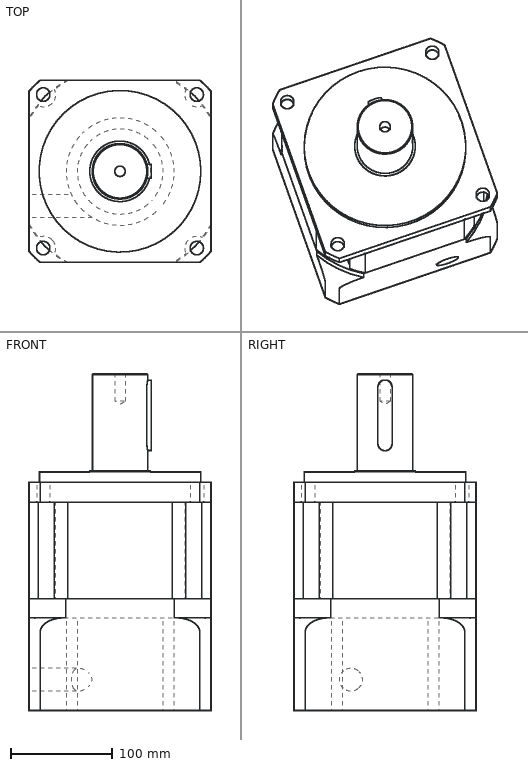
import cadquery as cq
import math

SIDE = 180.0
CORNER_R = 120.0
TOTAL_H = 333.0

INPUT_TOP = 111.0
CASE_TOP = 206.0
FLANGE_TOP = 226.0
BOSS_TOP = 236.0
COLLAR_TOP = 237.0

BOSS_D = 160.0
COLLAR_D = 60.0
SHAFT_D = 55.0
SHAFT_CHAMFER = 1.0
CENTRE_HOLE_D = 10.3
CENTRE_HOLE_DEPTH = 26.5
DRILL_ANGLE = 118.0
KEY_WIDTH = 14.0
KEY_LENGTH = 70.0
KEY_END_GAP = 6.0
KEY_REACH = 31.0

BOLT_OFFSET = 76.0
BOLT_HOLE_R = 6.5
BOLT_GROOVE_R = 12.0

CASE_R = 104.0

RIM_R = 105.0
SHOULDER_R = CORNER_R - RIM_R
RIM_BOTTOM = 92.0
SHOULDER_BOTTOM = RIM_BOTTOM - SHOULDER_R
CAVITY_R = 53.3
HUB_R = 42.3
CAVITY_H = RIM_BOTTOM
ACCESS_HOLE_R = 11.3
ACCESS_HOLE_Y = -34.0
ACCESS_HOLE_Z = 31.0


def disc(radius, bottom, top):
    """Upright cylinder on the main axis."""
    return cq.Workplane("XY").workplane(offset=bottom).circle(radius).extrude(top - bottom)


def square_block(bottom, top):
    """Upright square prism on the main axis."""
    return cq.Workplane("XY").workplane(offset=bottom).rect(SIDE, SIDE).extrude(top - bottom)


def bolt_cylinders(radius, bottom, top):
    """One upright cylinder at each of the four bolt positions."""
    return (
        cq.Workplane("XY")
        .workplane(offset=bottom)
        .rect(2 * BOLT_OFFSET, 2 * BOLT_OFFSET, forConstruction=True)
        .vertices()
        .circle(radius)
        .extrude(top - bottom)
    )


def make_flange():
    plate = square_block(CASE_TOP, FLANGE_TOP).intersect(disc(CORNER_R, CASE_TOP, FLANGE_TOP))
    return plate.cut(bolt_cylinders(BOLT_HOLE_R, CASE_TOP, FLANGE_TOP))


def make_key():
    """Key with round ends on the +X side; its root lies inside the shaft."""
    key_centre_z = TOTAL_H - KEY_END_GAP - KEY_LENGTH / 2
    return (
        cq.Workplane("YZ")
        .center(0, key_centre_z)
        .slot2D(KEY_LENGTH, KEY_WIDTH, 90)
        .extrude(KEY_REACH)
    )


def make_centre_hole():
    """Drilled hole in the shaft end, with a conical point."""
    radius = CENTRE_HOLE_D / 2
    wall_bottom = TOTAL_H - CENTRE_HOLE_DEPTH
    point_h = radius / math.tan(math.radians(DRILL_ANGLE / 2))
    return (
        cq.Workplane("XZ")
        .moveTo(0, TOTAL_H)
        .lineTo(radius, TOTAL_H)
        .lineTo(radius, wall_bottom)
        .lineTo(0, wall_bottom - point_h)
        .close()
        .revolve(360, (0, 0), (0, 1))
    )


def make_output_unit():
    boss = disc(BOSS_D / 2, FLANGE_TOP, BOSS_TOP)
    collar = disc(COLLAR_D / 2, BOSS_TOP, COLLAR_TOP)
    shaft = disc(SHAFT_D / 2, COLLAR_TOP, TOTAL_H).faces(">Z").chamfer(SHAFT_CHAMFER)
    unit = make_flange().union(boss).union(collar).union(shaft).union(make_key())
    return unit.cut(make_centre_hole())


def make_gear_case():
    case = square_block(INPUT_TOP, CASE_TOP).intersect(disc(CASE_R, INPUT_TOP, CASE_TOP))
    return case.cut(bolt_cylinders(BOLT_GROOVE_R, INPUT_TOP, CASE_TOP))


def make_housing_envelope():
    """Turned shape with a rounded shoulder that forms the corners of the input housing."""
    arc_reach = SHOULDER_R * math.sqrt(0.5)
    return (
        cq.Workplane("XZ")
        .lineTo(CORNER_R, 0)
        .lineTo(CORNER_R, SHOULDER_BOTTOM)
        .threePointArc((RIM_R + arc_reach, SHOULDER_BOTTOM + arc_reach), (RIM_R, RIM_BOTTOM))
        .lineTo(RIM_R, INPUT_TOP)
        .lineTo(0, INPUT_TOP)
        .close()
        .revolve(360, (0, 0), (0, 1))
    )


def make_access_hole():
    """Hole from the -X face that reaches the cavity and stops at the hub."""
    hole = (
        cq.Workplane("YZ")
        .workplane(offset=-SIDE / 2)
        .center(ACCESS_HOLE_Y, ACCESS_HOLE_Z)
        .circle(ACCESS_HOLE_R)
        .extrude(SIDE / 2)
    )
    return hole.cut(disc(HUB_R, 0, CAVITY_H))


def make_input_housing():
    cavity = disc(CAVITY_R, 0, CAVITY_H).cut(disc(HUB_R, 0, CAVITY_H))
    housing = square_block(0, INPUT_TOP).intersect(make_housing_envelope())
    return housing.cut(cavity).cut(make_access_hole())


output_unit = make_output_unit()
gear_case = make_gear_case()
input_housing = make_input_housing()

bodies = [output_unit, gear_case, input_housing]
result = cq.Compound.makeCompound([body.solids().val() for body in bodies])